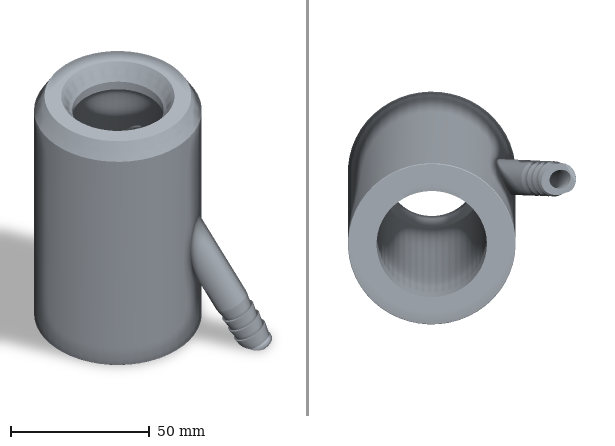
import cadquery as cq
import math

housing_height = 99.4
housing_radius = 60.5 / 2
top_radius = 52.9 / 2
rim_chamfer_height = 6.5
foot_chamfer = 0.2
throat_radius = 33.0 / 2
throat_length = 3.5
bore_radius = 19.9
mouth_radius = 40.8 / 2
mouth_depth = 6.3

tube_tilt = 30.0
tube_radius = 12.7 / 2
tube_bore_radius = 6.8 / 2
nozzle_tip_x = 4.4
nozzle_tip_z = 82.9
tip_radius = 10.4 / 2
tip_taper_length = 9.1

first_taper_start = 77.1
first_barb_start = 81.8
barb_pitch = 4.5
barb_count = 3
barb_root_radius = 5.5
last_taper_length = 4.7

lip_radius = 5.8
lip_length = 2.5
end_radius = 5.3

lip_start = first_barb_start + (barb_count - 1) * barb_pitch + last_taper_length
tube_length = lip_start + lip_length


def tube_plane():
    """Local X is radial, local Y runs down the tube from the nozzle tip."""
    tilt = math.radians(tube_tilt)
    return cq.Plane(
        origin=(nozzle_tip_x, 0, nozzle_tip_z),
        xDir=(math.cos(tilt), 0, math.sin(tilt)),
        normal=(0, 1, 0),
    )


def tube_cylinder(radius):
    """A cylinder filling the full length of the tube."""
    half_section = cq.Workplane(tube_plane()).rect(radius, tube_length, centered=False)
    return half_section.revolve(360, (0, 0), (0, 1))


def make_housing():
    """Revolved sleeve with a bevelled rim, a flared mouth, a throat, a wider bore and a slanted tube hole."""
    throat_bottom = housing_height - mouth_depth - throat_length
    section = [
        (bore_radius, 0),
        (housing_radius - foot_chamfer, 0),
        (housing_radius, foot_chamfer),
        (housing_radius, housing_height - rim_chamfer_height),
        (top_radius, housing_height),
        (mouth_radius, housing_height),
        (throat_radius, housing_height - mouth_depth),
        (throat_radius, throat_bottom),
        (bore_radius, throat_bottom),
    ]
    sleeve = cq.Workplane("XZ").polyline(section).close().revolve(360, (0, 0), (0, 1))
    return sleeve.cut(tube_cylinder(tube_radius))


def make_tube():
    """Hollow tube with a tapered tip and a barbed end, trimmed flush with the base plane."""
    outline = [
        (0, 0),
        (tip_radius, 0),
        (tube_radius, tip_taper_length),
        (tube_radius, first_taper_start),
    ]
    for index in range(barb_count):
        barb_start = first_barb_start + index * barb_pitch
        outline.append((barb_root_radius, barb_start))
        outline.append((tube_radius, barb_start))
    outline.append((barb_root_radius, lip_start))
    half_section = (
        cq.Workplane(tube_plane())
        .polyline(outline)
        .threePointArc((lip_radius, lip_start + lip_length / 2), (end_radius, tube_length))
        .lineTo(0, tube_length)
        .close()
    )
    tube = half_section.revolve(360, (0, 0), (0, 1)).cut(tube_cylinder(tube_bore_radius))
    below_base = cq.Workplane("XY").box(
        4 * housing_radius, 2 * housing_radius, housing_height, centered=(True, True, False)
    ).translate((0, 0, -housing_height))
    return tube.cut(below_base)


housing = make_housing()
tube = make_tube()
result = cq.Compound.makeCompound([housing.val(), tube.val()])